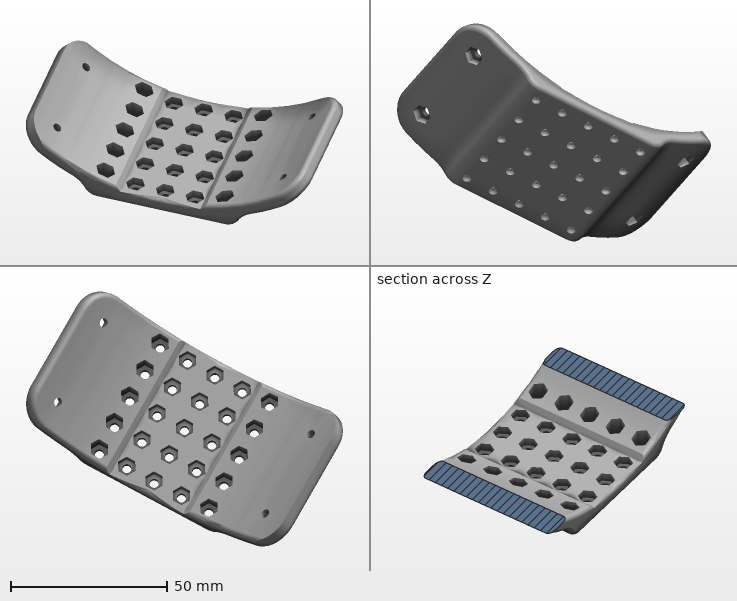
import cadquery as cq
import math

length = 95.7
width = 50.0
inner_radius = 65.05
shell_thickness = 5.0
outer_radius = inner_radius + shell_thickness
arc_centre_z = outer_radius
edge_radius = 1.5
corner_radius = width / 5

rounding_path_radius = outer_radius - edge_radius
end_angle = math.degrees(
    math.asin((length / 2 - edge_radius) / rounding_path_radius)
    + math.asin(edge_radius / rounding_path_radius)
)

foot_half_length = 21.4
foot_radius = 5.0
foot_blend_radius = 9.95

floor_z = shell_thickness
floor_half_length = 13.4
floor_cut_height = 9.6

hole_diameter = 3.0
nut_flats = 5.5
nut_corners = nut_flats / math.cos(math.radians(30))
grid_count = 5
grid_pitch = width / grid_count
nut_seat_z = 2.0
end_hole_angle = 35.6
end_hole_spacing = 3 * grid_pitch
end_nut_seat = 1.7


def arc_point(radius, angle):
    """Point (x, z) on an arc about the cradle centre; angle in degrees from straight down."""
    turn = math.radians(angle)
    return radius * math.sin(turn), arc_centre_z - radius * math.cos(turn)


def mirrored(point):
    return -point[0], point[1]


def between(start, end, fraction):
    return tuple(a + (b - a) * fraction for a, b in zip(start, end))


def point_towards(start, target, length):
    """Point at a given distance from start on the way to target."""
    return between(start, target, length / math.dist(start, target))


def blend_centre():
    """Centre of the concave blend, touching both the outer arc and the foot rounding."""
    arc_centre = (0, arc_centre_z)
    foot_centre = (foot_half_length, foot_radius)
    gap = math.dist(arc_centre, foot_centre)
    to_arc = outer_radius + foot_blend_radius
    to_foot = foot_radius + foot_blend_radius
    along = (to_arc**2 - to_foot**2 + gap**2) / (2 * gap)
    aside = math.sqrt(to_arc**2 - along**2)
    base = point_towards(arc_centre, foot_centre, along)
    unit_x = (foot_centre[0] - arc_centre[0]) / gap
    unit_z = (foot_centre[1] - arc_centre[1]) / gap
    return base[0] - aside * unit_z, base[1] + aside * unit_x


def make_blank():
    foot_end = (foot_half_length, 0)
    foot_centre = (foot_half_length, foot_radius)
    blend = blend_centre()
    foot_to_blend = point_towards(foot_centre, blend, foot_radius)
    blend_to_arc = point_towards(blend, (0, arc_centre_z), foot_blend_radius)
    blend_angle = math.degrees(math.asin(blend_to_arc[0] / outer_radius))

    foot_chord_mid = between(foot_end, foot_to_blend, 0.5)
    foot_mid = point_towards(foot_centre, foot_chord_mid, foot_radius)
    blend_chord_mid = between(foot_to_blend, blend_to_arc, 0.5)
    blend_mid = point_towards(blend, blend_chord_mid, foot_blend_radius)
    outer_mid = arc_point(outer_radius, (blend_angle + end_angle) / 2)

    outer_tip = arc_point(outer_radius, end_angle)
    inner_tip = arc_point(inner_radius, end_angle)
    return (
        cq.Workplane("XZ", origin=(0, width / 2, 0))
        .moveTo(*mirrored(foot_end))
        .lineTo(*foot_end)
        .threePointArc(foot_mid, foot_to_blend)
        .threePointArc(blend_mid, blend_to_arc)
        .threePointArc(outer_mid, outer_tip)
        .lineTo(*inner_tip)
        .threePointArc(arc_point(inner_radius, 0), mirrored(inner_tip))
        .lineTo(*mirrored(outer_tip))
        .threePointArc(mirrored(outer_mid), mirrored(blend_to_arc))
        .threePointArc(mirrored(blend_mid), mirrored(foot_to_blend))
        .threePointArc(mirrored(foot_mid), mirrored(foot_end))
        .close()
        .extrude(width)
    )


def radial_plane(angle, side):
    """Plane touching the concave face at an angle, facing outward; side is +1 or -1 along X."""
    x, z = arc_point(inner_radius, angle)
    turn = math.radians(angle)
    return cq.Plane(
        origin=(side * x, 0, z),
        xDir=(side * math.cos(turn), 0, math.sin(turn)),
        normal=(side * math.sin(turn), 0, -math.cos(turn)),
    )


def corner_waste(side):
    """Material outside the rounded corners of one end."""
    plane = radial_plane(end_angle, side)
    reach = 2 * shell_thickness
    block = cq.Workplane(plane).center(-corner_radius / 2, 0).rect(corner_radius, width)
    block = block.extrude(reach, both=True)
    kept = (
        cq.Workplane(plane)
        .center(-2 * corner_radius, 0)
        .rect(4 * corner_radius, width)
        .extrude(reach, both=True)
        .edges(cq.selectors.ParallelDirSelector(plane.zDir))
        .fillet(corner_radius)
    )
    return block.cut(kept)


def rim_edge(body, radius, end_side):
    """End edge of the rim at the given radius; fillets run on from it along the rim."""
    x, z = arc_point(radius, end_angle)
    return body.edges(cq.selectors.NearestToPointSelector((end_side * x, 0, z)))


def floor_recess():
    top_half_length = floor_half_length + floor_cut_height
    return (
        cq.Workplane("XZ", origin=(0, width / 2, 0))
        .moveTo(-floor_half_length, floor_z)
        .lineTo(floor_half_length, floor_z)
        .lineTo(top_half_length, floor_z + floor_cut_height)
        .lineTo(-top_half_length, floor_z + floor_cut_height)
        .close()
        .extrude(width)
    )


def cut_grid_holes(body):
    """Vertical screw holes with nut pockets open to the concave side."""
    seats = cq.Workplane("XY", origin=(0, 0, nut_seat_z)).rarray(
        grid_pitch, grid_pitch, grid_count, grid_count
    )
    pockets = seats.polygon(6, nut_corners).extrude(arc_centre_z)
    holes = seats.circle(hole_diameter / 2).extrude(2 * nut_seat_z, both=True)
    return body.cut(pockets).cut(holes)


def cut_end_holes(body, side):
    """Radial screw holes near one end, with nut pockets open to the outer face."""
    spots = [(0, -end_hole_spacing / 2), (0, end_hole_spacing / 2)]
    axis = cq.Workplane(radial_plane(end_hole_angle, side))
    reach = 2 * shell_thickness
    holes = axis.pushPoints(spots).circle(hole_diameter / 2).extrude(reach, both=True)
    pockets = (
        axis.workplane(offset=end_nut_seat)
        .transformed(rotate=(0, 0, 90))
        .pushPoints([(y, x) for x, y in spots])
        .polygon(6, nut_corners)
        .extrude(reach)
    )
    return body.cut(holes).cut(pockets)


result = make_blank()

result = result.cut(corner_waste(1))
result = rim_edge(result, inner_radius, 1).fillet(edge_radius)
result = result.cut(corner_waste(-1))

result = rim_edge(result, outer_radius, -1).fillet(edge_radius)

result = result.cut(floor_recess())
result = cut_grid_holes(result)
for side in (-1, 1):
    result = cut_end_holes(result, side)